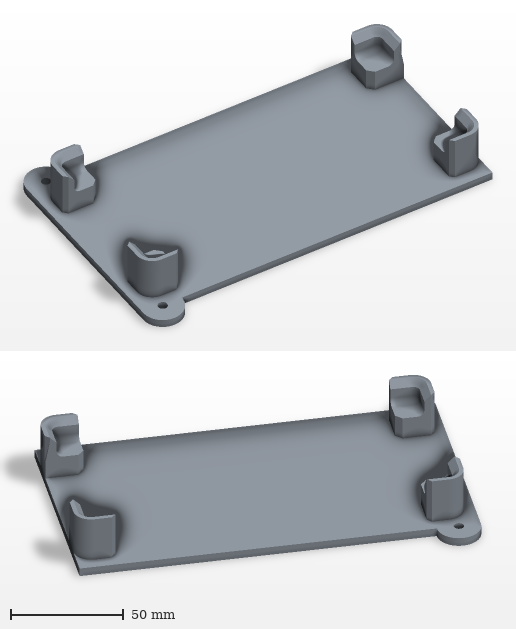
import cadquery as cq

plate_width = 98.7
plate_length = 181.7
plate_thickness = 4.0
ear_radius = 10.0
ear_hole_diameter = 4.5

total_height = 25.3
post_size = 17.8
post_spread_x = 86.9
front_post_inset = 5.0
post_round = 8.0
inner_chamfer = 2.9
side_chamfer = 2.0

floor_height = 10.5
rim_width = 2.0
wall_thickness = 5.0

wedge_high_side = 19.0
wedge_low_side = 8.4

post_height = total_height - plate_thickness
pocket_round = post_round - wall_thickness
lead_in_width = wall_thickness - rim_width
lead_in_angle = 45.0
lead_in_height = lead_in_width


def make_plate():
    """Rectangular plate with its front edge on Y = 0 and a drilled round ear at each front corner."""
    ear_centers = [(side * plate_width / 2, ear_radius) for side in (-1, 1)]
    plate = cq.Workplane("XY").rect(plate_width, plate_length).extrude(plate_thickness)
    plate = plate.translate((0, plate_length / 2, 0))
    ears = cq.Workplane("XY").pushPoints(ear_centers).circle(ear_radius).extrude(plate_thickness)
    holes = (
        cq.Workplane("XY").pushPoints(ear_centers).circle(ear_hole_diameter / 2).extrude(plate_thickness)
    )
    return plate.union(ears).cut(holes)


def make_pocket():
    """Pocket with a filleted floor and a lead-in that widens to the rim; it overshoots the open sides."""
    pocket_size = 2 * post_size
    center = wall_thickness + pocket_size / 2
    wall_height = post_height - floor_height - lead_in_height
    outline = cq.Sketch().rect(pocket_size, pocket_size).vertices().fillet(pocket_round)
    lower = (
        cq.Workplane("XY")
        .placeSketch(outline)
        .extrude(wall_height)
        .faces("<Z")
        .edges()
        .fillet(pocket_round)
    )
    lead_in = (
        cq.Workplane("XY", origin=(0, 0, wall_height))
        .placeSketch(outline)
        .extrude(lead_in_height, taper=-lead_in_angle)
    )
    return lower.union(lead_in).translate((center, center, floor_height))


def make_post():
    """Front-left post, with its outer corner on the origin and standing on Z = 0."""
    post = cq.Workplane("XY").box(post_size, post_size, post_height, centered=False)
    post = post.edges("|Z and <X and <Y").fillet(post_round)
    post = post.edges("|Z and >X and >Y").chamfer(inner_chamfer)
    post = post.edges("|Z and ((>X and <Y) or (<X and >Y))").chamfer(side_chamfer)
    return post.cut(make_pocket())


def make_corner_wedge():
    """Wedge squaring off the lower part of a post's side chamfer at its far X end, next to Y = 0."""
    profile = [(0, 0), (side_chamfer, 0), (side_chamfer, wedge_high_side), (0, wedge_low_side)]
    start_x = post_size - side_chamfer
    return cq.Workplane("YZ", origin=(start_x, 0, 0)).polyline(profile).close().extrude(side_chamfer)


def place_pair(left_post):
    """Move a post to the front left of the plate and add its mirror image on the right."""
    placed = left_post.translate((-post_spread_x / 2, front_post_inset, plate_thickness))
    return placed.union(placed.mirror("YZ"))


post = make_post()
front_posts = place_pair(post)
mid_post_y = (front_post_inset + plate_length) / 2
rear_posts = place_pair(post.union(make_corner_wedge())).mirror("XZ", (0, mid_post_y, 0))

result = make_plate().union(front_posts).union(rear_posts)